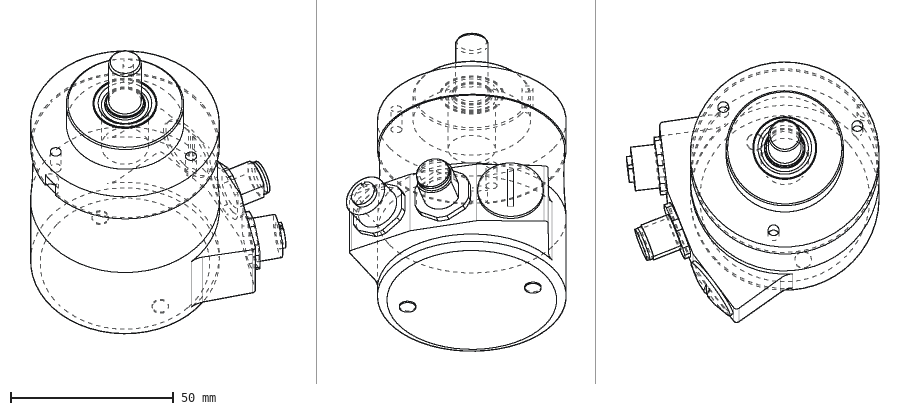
import cadquery as cq
import math

base_bottom = 0.5
base_top = 31.5
flange_bottom = 57.4
flange_top = 68.1
pilot_top = 78.1
shaft_top = 98.0

flange_radius = 29.0
pilot_radius = 18.0
pilot_chamfer = 0.5
notch_angle = -80.0
notch_radius = 2.5
notch_height = 5.0
screw_circle_radius = 24.0
screw_hole_radius = 1.7
screw_hole_depth = 7.8
drill_tip_depth = 1.0
screw_hole_angles = (30.0, 150.0, 270.0)

mouth_groove_outer_radius = 9.8
mouth_groove_inner_radius = 9.5
mouth_groove_depth = 0.3
mouth_radius = 8.2
collar_radius = 7.3
mouth_depth = mouth_radius - collar_radius
collar_shoulder_radius = 6.3
collar_shoulder_height = 77.6
collar_rim_radius = 6.1
collar_rim_height = 78.4
step_radius = 5.7
step_height = 78.7
collar_top = 79.0

shaft_radius = 5.0
shaft_chamfer_width = 0.5
shaft_chamfer_height = 0.9

waist_radius = 28.3
waist_height = 47.6
middle_top_radius = 28.5

base_chamfer_width = 2.9
base_chamfer_height = 1.4
screw_head_radius = 2.5
screw_head_x = 19.9
screw_head_y = 1.9

block_bottom = 4.6
block_top = 26.6
block_roof_angle = 5.0
block_front_y = 34.5
block_front_half_width = 10.6
block_slant_angle = 15.0
block_side_angle = 14.0
block_neck_x = 27.6
block_neck_y = 12.4
block_root_y = 8.4
block_corner_radius = 1.2

connector_height = 15.6
slant_mount_x = 20.6
nut_flats = 17.1
nut_corner_radius = 9.0
nut_thickness = 2.0

plug_thread_radius = 6.0
plug_flats = 10.6
plug_thread_end = 11.0
plug_rim_start = 12.2
plug_end = 13.0
plug_neck_radius = 5.3
plug_rim_radius = 5.2

socket_radius = 6.8
socket_end = 9.5
insert_radius = 4.0
insert_end = 11.1
key_width = 1.2
key_depth = 0.6

cap_radius = 10.1
cap_edge_height = 1.1
cap_height = 2.9
cap_slot_width = 1.8
cap_slot_floor = 2.1


def cylinder(radius, bottom, top):
    return cq.Workplane("XY").workplane(offset=bottom).circle(radius).extrude(top - bottom)


def revolve_about_z(profile):
    return profile.close().revolve(360, (0, 0, 0), (0, 1, 0))


def mount_plane(x):
    """Plane on the front of the block at x; its normal points outward and its local Y is global Z."""
    side = (x > 0) - (x < 0)
    angle = math.radians(block_slant_angle) * side
    drop = max(abs(x) - block_front_half_width, 0) * math.tan(abs(angle))
    return cq.Plane(
        origin=(x, block_front_y - drop, connector_height),
        xDir=(-math.cos(angle), math.sin(angle), 0),
        normal=(math.sin(angle), math.cos(angle), 0),
    )


def make_shaft():
    profile = (
        cq.Workplane("XZ")
        .moveTo(0, flange_bottom)
        .lineTo(collar_radius, flange_bottom)
        .lineTo(collar_radius, pilot_top - mouth_depth)
        .lineTo(collar_shoulder_radius, collar_shoulder_height)
        .lineTo(collar_rim_radius, collar_rim_height)
        .lineTo(step_radius, collar_rim_height)
        .lineTo(step_radius, step_height)
        .lineTo(shaft_radius, collar_top)
        .lineTo(shaft_radius, shaft_top - shaft_chamfer_height)
        .lineTo(shaft_radius - shaft_chamfer_width, shaft_top)
        .lineTo(0, shaft_top)
    )
    return revolve_about_z(profile)


def make_screw_hole():
    profile = (
        cq.Workplane("XZ")
        .moveTo(0, flange_top)
        .lineTo(screw_hole_radius, flange_top)
        .lineTo(screw_hole_radius, flange_top - screw_hole_depth)
        .lineTo(0, flange_top - screw_hole_depth - drill_tip_depth)
    )
    return revolve_about_z(profile)


def make_flange():
    profile = (
        cq.Workplane("XZ")
        .moveTo(collar_radius, flange_bottom)
        .lineTo(flange_radius, flange_bottom)
        .lineTo(flange_radius, flange_top)
        .lineTo(pilot_radius, flange_top)
        .lineTo(pilot_radius, pilot_top - pilot_chamfer)
        .lineTo(pilot_radius - pilot_chamfer, pilot_top)
        .lineTo(mouth_groove_outer_radius, pilot_top)
        .lineTo(mouth_groove_outer_radius, pilot_top - mouth_groove_depth)
        .lineTo(mouth_groove_inner_radius, pilot_top - mouth_groove_depth)
        .lineTo(mouth_groove_inner_radius, pilot_top)
        .lineTo(mouth_radius, pilot_top)
        .threePointArc(
            (collar_radius + mouth_depth * math.sqrt(0.5), pilot_top - mouth_depth * math.sqrt(0.5)),
            (collar_radius, pilot_top - mouth_depth),
        )
    )
    flange = revolve_about_z(profile)

    for angle in screw_hole_angles:
        hole = make_screw_hole().translate((screw_circle_radius, 0, 0))
        flange = flange.cut(hole.rotate((0, 0, 0), (0, 0, 1), angle))

    notch = cylinder(notch_radius, flange_bottom, flange_bottom + notch_height)
    notch = notch.translate((flange_radius, 0, 0)).rotate((0, 0, 0), (0, 0, 1), notch_angle)
    return flange.cut(notch)


def make_middle():
    profile = (
        cq.Workplane("XZ")
        .moveTo(0, base_top)
        .lineTo(flange_radius, base_top)
        .threePointArc((waist_radius, waist_height), (middle_top_radius, flange_bottom))
        .lineTo(0, flange_bottom)
    )
    return revolve_about_z(profile)


def make_block():
    slant = math.tan(math.radians(block_slant_angle))
    flare = math.tan(math.radians(block_side_angle))
    corner_y = (
        block_front_y - (block_neck_x - block_front_half_width - block_neck_y * flare) * slant
    ) / (1 + slant * flare)
    corner_x = block_neck_x + (corner_y - block_neck_y) * flare
    root_x = math.sqrt(flange_radius**2 - block_root_y**2)
    half_block = (
        cq.Workplane("XY")
        .workplane(offset=block_bottom)
        .moveTo(0, block_root_y)
        .lineTo(0, block_front_y)
        .lineTo(block_front_half_width, block_front_y)
        .lineTo(corner_x, corner_y)
        .lineTo(block_neck_x, block_neck_y)
        .tangentArcPoint((root_x, block_root_y), relative=False)
        .close()
        .extrude(block_top - block_bottom)
    )
    corner = cq.selectors.NearestToPointSelector((corner_x, corner_y, connector_height))
    half_block = half_block.edges("|Z").edges(corner).fillet(block_corner_radius)
    block = half_block.mirror("YZ", union=True)

    reach = 2 * block_front_y
    roof_drop = (reach - flange_radius) * math.tan(math.radians(block_roof_angle))
    roof = (
        cq.Workplane("XZ")
        .moveTo(0, 0)
        .lineTo(reach, 0)
        .lineTo(reach, block_top - roof_drop)
        .lineTo(flange_radius, block_top)
        .lineTo(0, block_top)
    )
    return block.intersect(revolve_about_z(roof))


def make_base():
    profile = (
        cq.Workplane("XZ")
        .moveTo(0, base_bottom)
        .lineTo(flange_radius - base_chamfer_width, base_bottom)
        .lineTo(flange_radius, base_bottom + base_chamfer_height)
        .lineTo(flange_radius, base_top)
        .lineTo(0, base_top)
    )
    base = revolve_about_z(profile).union(make_block())
    for x in (-screw_head_x, screw_head_x):
        head = cylinder(screw_head_radius, 0, base_bottom).translate((x, screw_head_y, 0))
        base = base.union(head)
    return base


def make_nut(plane):
    hexagon = (
        cq.Workplane(plane)
        .polygon(6, nut_flats, circumscribed=True)
        .extrude(nut_thickness)
    )
    return hexagon.intersect(cq.Workplane(plane).circle(nut_corner_radius).extrude(nut_thickness))


def make_plug_connector():
    plane = mount_plane(0)
    thread = cq.Workplane(plane).circle(plug_thread_radius).extrude(plug_thread_end)
    neck = cq.Workplane(plane).circle(plug_neck_radius).extrude(plug_rim_start)
    rim = cq.Workplane(plane).circle(plug_rim_radius).extrude(plug_end)
    flats = cq.Workplane(plane).rect(plug_flats, 2 * plug_thread_radius).extrude(plug_thread_end)
    body = thread.intersect(flats).union(neck).union(rim)
    return make_nut(plane).union(body)


def make_socket_connector():
    plane = mount_plane(slant_mount_x)
    body = cq.Workplane(plane).circle(socket_radius).extrude(socket_end)
    insert = cq.Workplane(plane).circle(insert_radius).extrude(insert_end)
    key = (
        cq.Workplane(plane)
        .workplane(offset=socket_end)
        .center(0, insert_radius)
        .rect(key_width, 2 * key_depth)
        .extrude(insert_end - socket_end)
    )
    return make_nut(plane).union(body).union(insert).cut(key)


def make_blind_cap():
    plane = mount_plane(-slant_mount_x)
    section_plane = cq.Plane(origin=plane.origin, xDir=plane.xDir, normal=plane.yDir)
    dome_rise = cap_height - cap_edge_height
    dome_radius = (cap_radius**2 + dome_rise**2) / (2 * dome_rise)
    half_chord = cap_radius / 2
    half_height = cap_height - dome_radius + math.sqrt(dome_radius**2 - half_chord**2)
    dome = (
        cq.Workplane(section_plane)
        .moveTo(0, 0)
        .lineTo(cap_radius, 0)
        .lineTo(cap_radius, -cap_edge_height)
        .threePointArc((half_chord, -half_height), (0, -cap_height))
        .close()
        .revolve(360, (0, 0, 0), (0, 1, 0))
    )
    slot = (
        cq.Workplane(plane)
        .workplane(offset=cap_slot_floor)
        .rect(cap_slot_width, 2 * cap_radius)
        .extrude(cap_height)
    )
    return dome.cut(slot)


shaft = make_shaft()
flange = make_flange()
middle = make_middle()
base = make_base()
plug_connector = make_plug_connector()
socket_connector = make_socket_connector()
blind_cap = make_blind_cap()

bodies = (shaft, flange, middle, base, plug_connector, socket_connector, blind_cap)
result = cq.Compound.makeCompound([body.val() for body in bodies])